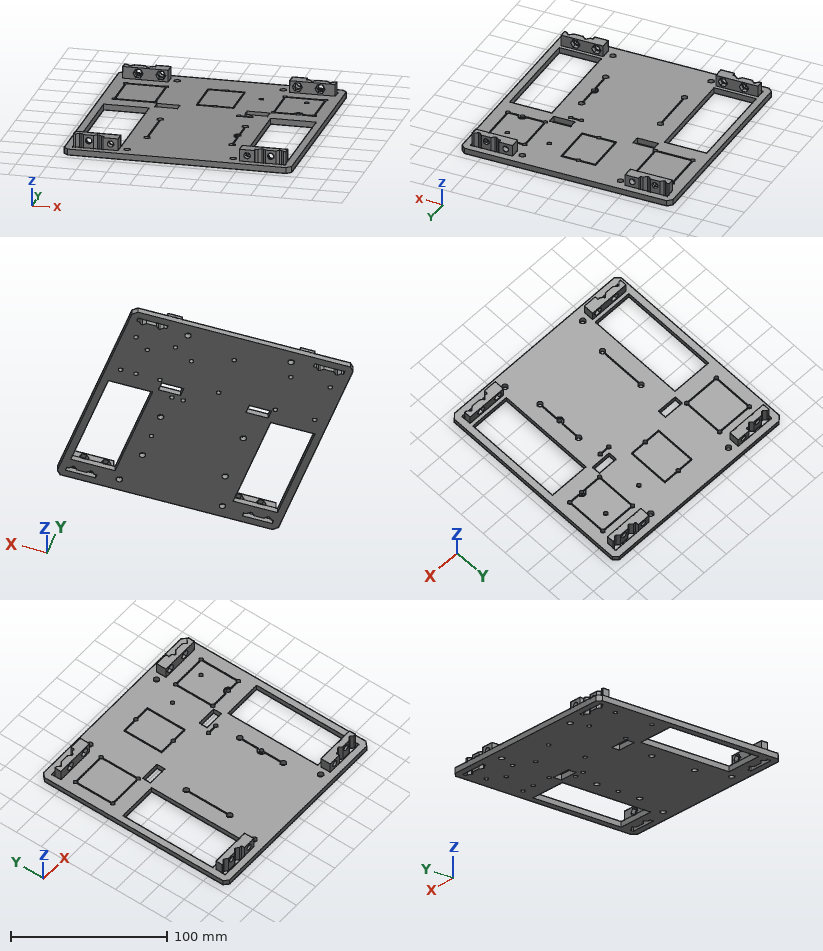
import cadquery as cq
import math

plate_size = 150
plate_thickness = 4.0
corner_chamfer = 3
total_height = 12
half_plate = plate_size / 2

edge_margin = 5.0
block_length = 30
block_width = 7.5
block_outer = half_plate - edge_margin
block_inner = block_outer - block_length

cutout_length = 20.2
cutout_depth = 2.5
notch_base = 5.1
notch_tip = 1.0
notch_depth = 2.0
notch_positions = (54.2, 66)

large_hole = 4.0
small_hole = 2.8
mounting_x = 35.0
mounting_y = 66.3

block_hole_positions = (45, 60)
nut_flats = 5.5
nut_depth = 3
block_hole_height = plate_thickness + (total_height - plate_thickness) / 2

window_top = 12.5
window_bottom = -60
slot_length = 15
slot_width = 6.3
slot_center_x = 29.7
slot_center_y = 18.8

groove_width = 0.5
groove_depth = 0.5
bypass_outer = 6
bypass_inner = bypass_outer - 2 * groove_width

side_frame_inner = 39.2
side_frame_outer = 65.8
side_frame_bottom = 24
frame_height = 30
side_frame_top = side_frame_bottom + frame_height
middle_frame_half_width = 12
middle_frame_bottom = 26.0
middle_frame_top = middle_frame_bottom + frame_height

sensor_x = (25.5, 55.4)
sensor_y = 46.0
pair_x = (19.2, 26.8)
pair_y = 12.2

rail_x = 28.0
rail_top = -6.3
rail_bottom = -41.4
rail_middle = (rail_top + rail_bottom) / 2


def box_between(x_start, x_end, y_start, y_end, z_start, z_end):
    """Box given by its limits along each axis."""
    return cq.Workplane("XY").box(
        x_end - x_start, y_end - y_start, z_end - z_start, centered=False
    ).translate((x_start, y_start, z_start))


def on_both_sides(shape):
    """The shape together with its mirror image across X = 0."""
    return shape.union(shape.mirror("YZ"))


def in_four_corners(shape):
    """The shape of the +X +Y corner, mirrored into all four corners."""
    pair = on_both_sides(shape)
    return pair.union(pair.mirror("XZ"))


def through_holes(points, diameter):
    """Vertical cylinders passing through the plate."""
    return cq.Workplane("XY").pushPoints(points).circle(diameter / 2).extrude(plate_thickness)


def groove(x_start, y_start, x_end, y_end):
    """Straight engraved line along X or Y, with square ends half a width past its end points."""
    half = groove_width / 2
    return box_between(
        x_start - half, x_end + half, y_start - half, y_end + half,
        plate_thickness - groove_depth, plate_thickness,
    )


def frame(x_start, y_start, x_end, y_end):
    """Engraved rectangle."""
    return (
        groove(x_start, y_start, x_end, y_start)
        .union(groove(x_start, y_end, x_end, y_end))
        .union(groove(x_start, y_start, x_start, y_end))
        .union(groove(x_end, y_start, x_end, y_end))
    )


def half_ring(x, y, angle):
    """Engraved half ring bulging to +Y, then turned by an angle about its centre."""
    inner = bypass_inner / 2
    outer = bypass_outer / 2
    return (
        cq.Workplane("XY")
        .moveTo(-outer, 0)
        .threePointArc((0, outer), (outer, 0))
        .lineTo(inner, 0)
        .threePointArc((0, inner), (-inner, 0))
        .close()
        .extrude(groove_depth)
        .rotate((0, 0, 0), (0, 0, 1), angle)
        .translate((x, y, plate_thickness - groove_depth))
    )


def bypass_clearance(x, y):
    """Disc in which a straight engraved line is interrupted."""
    return cq.Workplane("XY").center(x, y).circle(bypass_inner / 2).extrude(plate_thickness)


def corner_block():
    """Block of the +X +Y corner with its two horizontal holes and nut pockets."""
    block = box_between(
        block_inner, block_outer, block_outer - block_width, block_outer, 0, total_height
    )
    holes = (
        cq.Workplane("XZ", origin=(0, block_outer, 0))
        .pushPoints([(x, block_hole_height) for x in block_hole_positions])
        .circle(large_hole / 2)
        .extrude(block_width)
    )
    nut_pockets = (
        cq.Workplane("XZ", origin=(0, block_outer - block_width + nut_depth, 0))
        .pushPoints([(x, block_hole_height) for x in block_hole_positions])
        .polygon(6, nut_flats / math.cos(math.pi / 6))
        .extrude(nut_depth)
    )
    return block.cut(holes).cut(nut_pockets)


def corner_cutout():
    """Toothed cutout of the +X +Y corner, through block and plate."""
    floor = block_outer - cutout_depth
    cutout = box_between(
        block_outer - cutout_length, block_outer, floor, block_outer, 0, total_height
    )
    for x in notch_positions:
        notch = (
            cq.Workplane("XY")
            .polyline([
                (x - notch_base / 2, floor),
                (x - notch_tip / 2, floor - notch_depth),
                (x + notch_tip / 2, floor - notch_depth),
                (x + notch_base / 2, floor),
            ])
            .close()
            .extrude(total_height)
        )
        cutout = cutout.union(notch)
    return cutout


plate = cq.Workplane("XY").rect(plate_size, plate_size).extrude(plate_thickness)
plate = plate.edges("|Z").chamfer(corner_chamfer)
body = plate.union(in_four_corners(corner_block())).cut(in_four_corners(corner_cutout()))

window = box_between(block_inner, block_outer, window_bottom, window_top, 0, plate_thickness)
slot = (
    cq.Workplane("XY")
    .center(slot_center_x, slot_center_y)
    .rect(slot_length, slot_width)
    .extrude(plate_thickness)
)
body = body.cut(on_both_sides(window)).cut(on_both_sides(slot))

engraving = (
    on_both_sides(frame(side_frame_inner, side_frame_bottom, side_frame_outer, side_frame_top))
    .union(on_both_sides(groove(rail_x, rail_bottom, rail_x, rail_top)))
    .cut(bypass_clearance(sensor_x[1], side_frame_bottom))
    .cut(bypass_clearance(rail_x, rail_middle))
    .union(half_ring(sensor_x[1], side_frame_bottom, 0))
    .union(half_ring(rail_x, rail_middle, 90))
    .union(frame(-middle_frame_half_width, middle_frame_bottom, middle_frame_half_width, middle_frame_top))
    .union(groove(pair_x[0], pair_y, pair_x[1], pair_y))
)
body = body.cut(engraving)

large_points = [
    (side * x, y)
    for side in (-1, 1)
    for x, y in (
        (mounting_x, mounting_y),
        (mounting_x, -mounting_y),
        (rail_x, rail_top),
        (rail_x, rail_bottom),
    )
]
small_points = [
    (side * x, y)
    for side in (-1, 1)
    for x in (side_frame_inner, side_frame_outer)
    for y in (side_frame_bottom, side_frame_top)
]
small_points += [(0, middle_frame_bottom), (0, middle_frame_top)]
small_points += [(x, sensor_y) for x in sensor_x]
small_points += [(x, pair_y) for x in pair_x]
small_points += [(sensor_x[1], side_frame_bottom), (rail_x, rail_middle)]
body = body.cut(through_holes(large_points, large_hole))
result = body.cut(through_holes(small_points, small_hole))